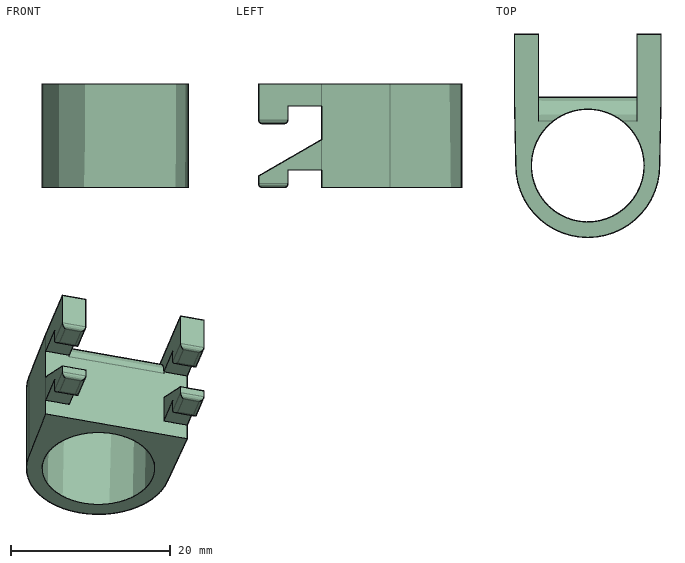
import cadquery as cq
import math

width = 18.4
length = 25.5
height = 13.0

bore_diameter = 14.1
ring_radius = 9.03
arm_length = 7.9
tip_y = length - ring_radius
body_back_y = tip_y - arm_length

arm_width = 3.05
hook_length = 3.7
hook_depth = 2.22
upper_arm_thickness = 2.78
lower_tip_height = 1.48
lower_slope_angle = 30.0
hook_fillet = 0.5

back_edge_radius = 3.0

hook_y = tip_y - hook_length
gap_width = width - 2 * arm_width


def make_body():
    """U-shaped block whose sides widen slightly towards the back."""
    return (
        cq.Workplane("XY")
        .moveTo(-width / 2, body_back_y)
        .lineTo(-ring_radius, 0)
        .threePointArc((0, -ring_radius), (ring_radius, 0))
        .lineTo(width / 2, body_back_y)
        .close()
        .extrude(height)
    )


def cut_back_edge(body):
    """Round the top back edge, only across the gap between the arms."""
    start_y = body_back_y - back_edge_radius
    end_z = height - back_edge_radius
    mid_offset = back_edge_radius * math.sqrt(0.5)
    waste = (
        cq.Workplane("YZ", origin=(-gap_width / 2, 0, 0))
        .moveTo(start_y, height)
        .threePointArc((start_y + mid_offset, end_z + mid_offset), (body_back_y, end_z))
        .lineTo(body_back_y, height)
        .close()
        .extrude(gap_width)
    )
    return body.cut(waste)


def make_arm(profile, left_x):
    """Extrude a side profile to the arm width and round the hook's bottom edges."""
    arm = cq.Workplane("YZ", origin=(left_x, 0, 0)).polyline(profile).close().extrude(arm_width)
    return arm.faces("<Z").edges().fillet(hook_fillet)


upper_notch_z = height - upper_arm_thickness
upper_hook_z = upper_notch_z - hook_depth
upper_profile = [
    (body_back_y, height),
    (tip_y, height),
    (tip_y, upper_hook_z),
    (hook_y, upper_hook_z),
    (hook_y, upper_notch_z),
    (body_back_y, upper_notch_z),
]

lower_root_height = lower_tip_height + arm_length * math.tan(math.radians(lower_slope_angle))
lower_profile = [
    (body_back_y, lower_root_height),
    (tip_y, lower_tip_height),
    (tip_y, 0),
    (hook_y, 0),
    (hook_y, hook_depth),
    (body_back_y, hook_depth),
]

result = cut_back_edge(make_body())
for left_x in (-width / 2, gap_width / 2):
    for profile in (upper_profile, lower_profile):
        result = result.union(make_arm(profile, left_x))

bore = cq.Workplane("XY").circle(bore_diameter / 2).extrude(height)
result = result.cut(bore)